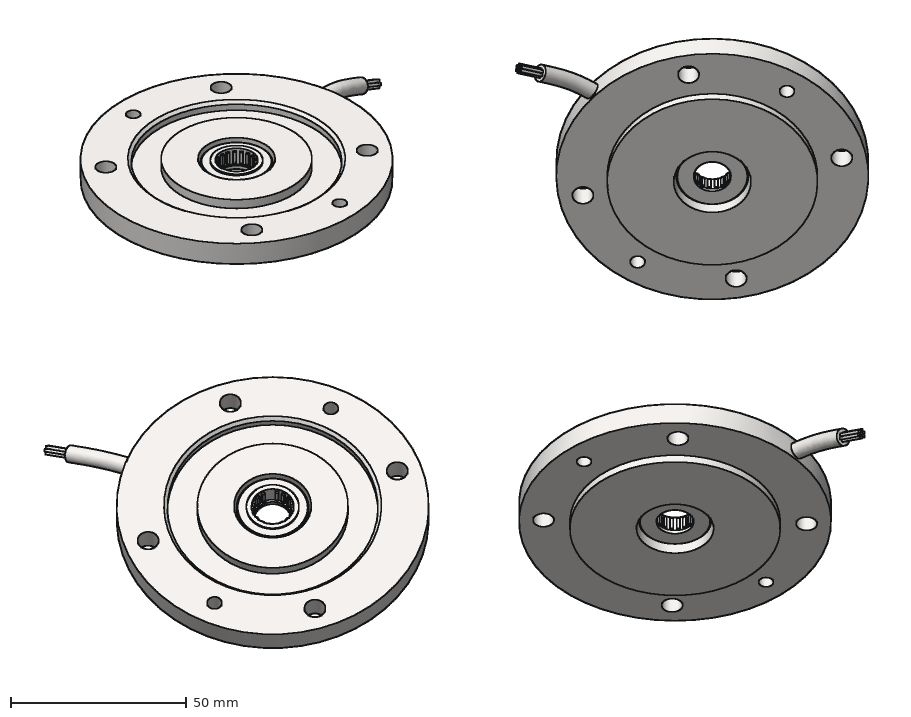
import cadquery as cq
import math

flange_diameter = 89.0
flange_thickness = 7.0
spigot_diameter = 60.0
spigot_height = 2.5

recess_diameter = 60.0
recess_depth = 3.0
recess_chamfer = 1.0
land_diameter = 43.0
centre_hole_diameter = 22.0

pitch_radius = 37.5
bolt_hole_diameter = 6.0
bolt_hole_count = 4
first_bolt_angle = 40.0
dowel_hole_diameter = 4.2
dowel_hole_count = 2
first_dowel_angle = -5.0

cable_diameter = 5.0
cable_start_y = 41.0
cable_start_z = -flange_thickness / 2
cable_bend_radius = 43.6
cable_bend_angle = 23.0
cable_straight_length = 4.9
cable_roll_angle = 14.5

wire_diameter = 0.9
wire_spacing = 1.0
outer_wire_count = 6
wire_length = 7.87
wire_embed_length = 2.0

hub_diameter = 20.6
hub_chamfer = 0.35
hub_shoulder_z = -0.9
hub_lip_diameter = 15.0
hub_lip_height = 0.5
hub_bottom_z = -flange_thickness
hub_bore_diameter = 12.1
hub_collar_top_z = -5.8
hub_collar_bore_diameter = 10.6

rib_top_z = -1.3
rib_bottom_z = -5.0
rib_inner_diameter = 10.7
rib_place_count = 18
rib_width_angle = 9.5
empty_rib_angle = 29.0
rib_root_overlap = 0.3


def holes_on_pitch_circle(body, diameter, count, first_angle):
    """Drill evenly spaced holes through the flange."""
    return (
        body.faces(">Z").workplane(origin=(0, 0, 0))
        .polarArray(pitch_radius, first_angle, 360, count)
        .hole(diameter)
    )


def make_flange():
    """Flange with its spigot, recess, centre hole and mounting holes."""
    plate = cq.Workplane("XY").circle(flange_diameter / 2).extrude(-flange_thickness)
    spigot = (
        cq.Workplane("XY").workplane(offset=-flange_thickness)
        .circle(spigot_diameter / 2).extrude(-spigot_height)
    )
    recess = cq.Workplane("XY").circle(recess_diameter / 2).extrude(-recess_depth)
    recess_mouth = (
        cq.Workplane("XY").circle(recess_diameter / 2 + recess_chamfer)
        .extrude(-recess_chamfer, taper=45)
    )
    land = cq.Workplane("XY").circle(land_diameter / 2).extrude(-recess_depth)
    flange = plate.union(spigot).cut(recess.union(recess_mouth).cut(land))
    flange = flange.faces(">Z").workplane(origin=(0, 0, 0)).hole(centre_hole_diameter)
    flange = holes_on_pitch_circle(flange, bolt_hole_diameter, bolt_hole_count, first_bolt_angle)
    return holes_on_pitch_circle(flange, dowel_hole_diameter, dowel_hole_count, first_dowel_angle)


def make_cable():
    """Cable and its bare wires, joined into one shape."""
    roll = math.radians(cable_roll_angle)
    bend_plane = cq.Plane(
        origin=(0, cable_start_y, cable_start_z),
        xDir=(0, 1, 0),
        normal=(math.cos(roll), 0, math.sin(roll)),
    )

    bend = math.radians(cable_bend_angle)
    along = (math.cos(bend), -math.sin(bend))
    cable_end = (
        cable_bend_radius * math.sin(bend) + cable_straight_length * along[0],
        cable_bend_radius * (math.cos(bend) - 1) + cable_straight_length * along[1],
    )
    path = cq.Workplane(bend_plane).spline([(0, 0), cable_end], tangents=[(1, 0), along])
    section_plane = cq.Plane(origin=bend_plane.origin, xDir=(1, 0, 0), normal=(0, 1, 0))
    cable = cq.Workplane(section_plane).circle(cable_diameter / 2).sweep(path)

    end_point = bend_plane.toWorldCoords(cable_end)
    direction = bend_plane.toWorldCoords(along) - bend_plane.origin
    wire_plane = cq.Plane(
        origin=end_point - direction * wire_embed_length,
        xDir=bend_plane.zDir,
        normal=direction,
    )
    full_wire_length = wire_embed_length + wire_length
    outer_wires = (
        cq.Workplane(wire_plane)
        .polarArray(wire_spacing, 0, 360, outer_wire_count)
        .circle(wire_diameter / 2).extrude(full_wire_length)
    )
    middle_wire = cq.Workplane(wire_plane).circle(wire_diameter / 2).extrude(full_wire_length)
    return cable.union(outer_wires).union(middle_wire)


def make_rib(angle):
    """One rib on the bore wall, its root sunk a little into the wall."""
    inner_radius = rib_inner_diameter / 2
    outer_radius = hub_bore_diameter / 2 + rib_root_overlap
    half_width = math.radians(rib_width_angle / 2)

    def arc_point(radius, turn):
        return (radius * math.cos(turn), radius * math.sin(turn))

    return (
        cq.Workplane("XY").workplane(offset=rib_bottom_z)
        .moveTo(*arc_point(inner_radius, -half_width))
        .threePointArc((inner_radius, 0), arc_point(inner_radius, half_width))
        .lineTo(*arc_point(outer_radius, half_width))
        .threePointArc((outer_radius, 0), arc_point(outer_radius, -half_width))
        .close().extrude(rib_top_z - rib_bottom_z)
        .rotate((0, 0, 0), (0, 0, 1), angle)
    )


def make_hub():
    """Ring with a raised lip, a collar at the foot of its bore and ribs on the bore wall."""
    ring = (
        cq.Workplane("XY").workplane(offset=hub_bottom_z)
        .circle(hub_diameter / 2).extrude(hub_shoulder_z - hub_bottom_z)
        .edges().chamfer(hub_chamfer)
    )
    lip = (
        cq.Workplane("XY").workplane(offset=hub_shoulder_z)
        .circle(hub_lip_diameter / 2).extrude(hub_lip_height)
    )
    lip_top_z = hub_shoulder_z + hub_lip_height
    hub = (
        ring.union(lip).faces(">Z").workplane(origin=(0, 0, 0))
        .cboreHole(hub_collar_bore_diameter, hub_bore_diameter, lip_top_z - hub_collar_top_z)
    )
    for place in range(1, rib_place_count):
        hub = hub.union(make_rib(empty_rib_angle + place * 360 / rib_place_count))
    return hub


housing = make_flange().union(make_cable())
hub = make_hub()

result = cq.Compound.makeCompound([housing.val(), hub.val()])